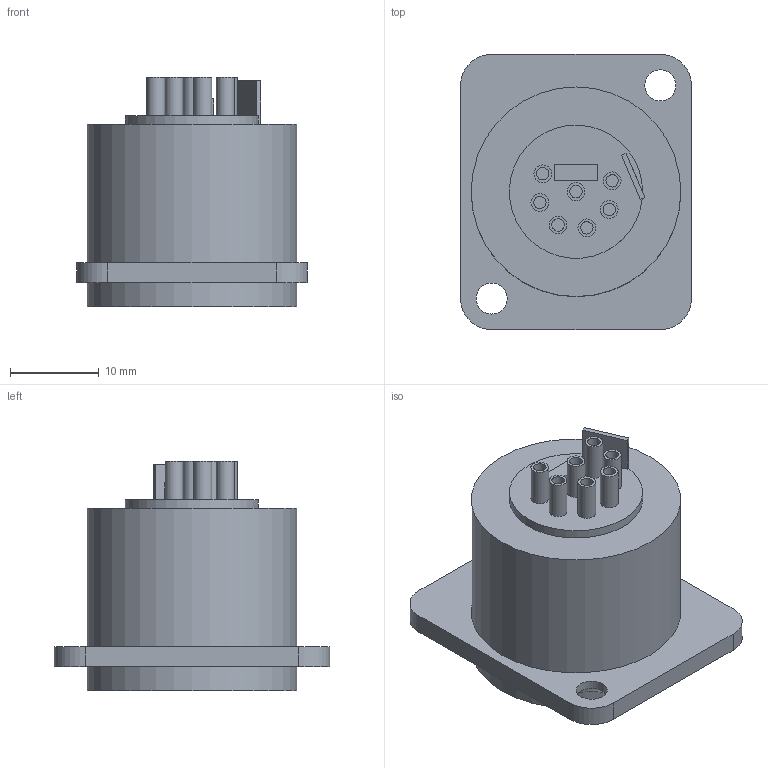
import cadquery as cq
import math

flange_width = 26.0
flange_length = 31.0
flange_thickness = 2.25
flange_bottom = 2.7
corner_radius = 3.5
screw_hole_diameter = 3.5
countersink_diameter = 6.0
countersink_angle = 90.0
screw_hole_x = 9.5
screw_hole_y = 12.0

body_diameter = 23.6
body_height = 20.5

insert_diameter = 15.0
insert_height = 1.0
insert_top = body_height + insert_height

pin_diameter = 2.0
pin_bore_diameter = 1.4
pin_height = 4.3
pin_circle_radius = 4.25
pin_places = 8
pin_count = 6
pin_pitch = 360.0 / pin_places
first_pin_angle = 151.7

block_width = 4.9
block_length = 1.83
block_height = 1.9
block_center_y = 2.18

tab_width = 5.4
tab_thickness = 0.55
tab_height = 4.95
tab_angle = 23.1
tab_radial_offset = 6.6
tab_side_offset = -0.95


def disc(diameter, height, bottom):
    return cq.Workplane("XY").workplane(offset=bottom).circle(diameter / 2).extrude(height)


def make_flange():
    plate = (
        cq.Workplane("XY")
        .workplane(offset=flange_bottom)
        .rect(flange_width, flange_length)
        .extrude(flange_thickness)
        .edges("|Z")
        .fillet(corner_radius)
    )
    return (
        plate.faces("<Z")
        .workplane(origin=(0, 0, flange_bottom))
        .pushPoints([(screw_hole_x, -screw_hole_y), (-screw_hole_x, screw_hole_y)])
        .cskHole(screw_hole_diameter, countersink_diameter, countersink_angle)
    )


def pin_centers():
    centers = [(0, 0)]
    for i in range(pin_count):
        angle = math.radians(first_pin_angle + i * pin_pitch)
        centers.append((pin_circle_radius * math.cos(angle), pin_circle_radius * math.sin(angle)))
    return centers


def make_pins():
    return (
        cq.Workplane("XY")
        .workplane(offset=insert_top)
        .pushPoints(pin_centers())
        .circle(pin_diameter / 2)
        .circle(pin_bore_diameter / 2)
        .extrude(pin_height)
    )


def make_block():
    return (
        cq.Workplane("XY")
        .workplane(offset=insert_top)
        .center(0, block_center_y)
        .rect(block_width, block_length)
        .extrude(block_height)
    )


def make_tab():
    return (
        cq.Workplane("XY")
        .workplane(offset=body_height)
        .center(tab_radial_offset, tab_side_offset)
        .rect(tab_thickness, tab_width)
        .extrude(tab_height)
        .rotate((0, 0, 0), (0, 0, 1), tab_angle)
    )


result = (
    disc(body_diameter, body_height, 0)
    .union(make_flange())
    .union(disc(insert_diameter, insert_height, body_height))
    .union(make_pins())
    .union(make_block())
    .union(make_tab())
)